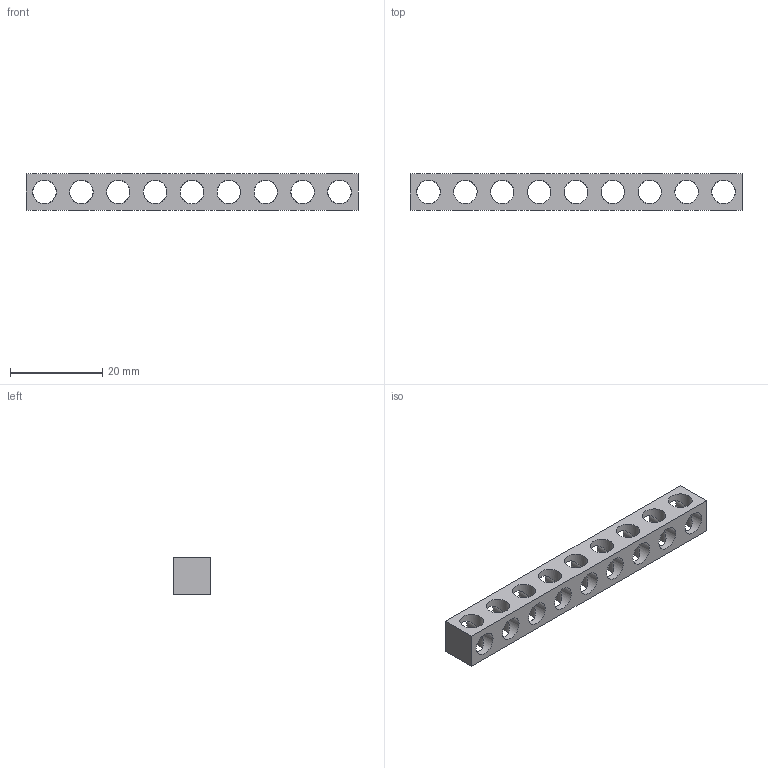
import cadquery as cq

pitch = 8.0
hole_count = 9
hole_diameter = 5.1

beam_length = hole_count * pitch


def make_bar():
    """Plain square bar along X, centred on the origin."""
    return cq.Workplane("XY").box(beam_length, pitch, pitch)


def drill_row(body, face):
    """Drill a row of through holes along X, square to the given face."""
    return (
        body.faces(face)
        .workplane(centerOption="CenterOfBoundBox")
        .rarray(pitch, pitch, hole_count, 1)
        .hole(hole_diameter)
    )


beam = make_bar()
beam = drill_row(beam, ">Z")
beam = drill_row(beam, "<Y")

result = beam